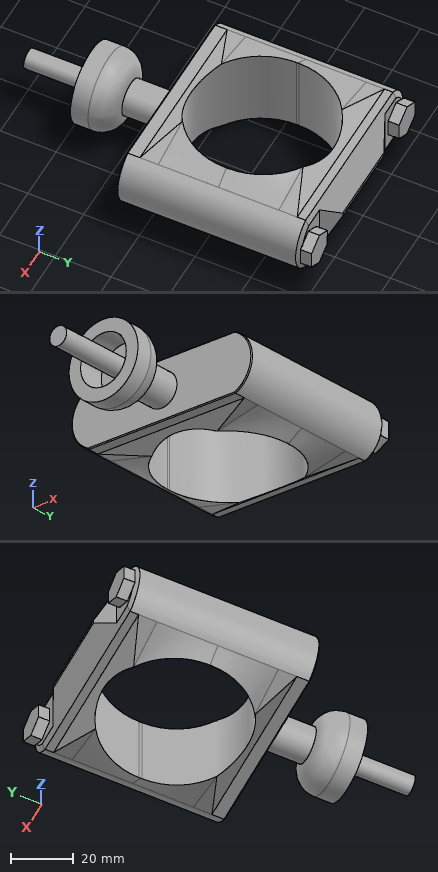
import cadquery as cq
import math

overall_length = 120.1
back_end = 36.3
rod_end = back_end - overall_length
block_back = 31.2
block_front = -32.9
stem_length = 14.2
knob_back = block_front - stem_length
knob_length = 14.4
knob_front = knob_back - knob_length

block_half_width = 38.0
flat_half_width = 30.9
block_half_height = 11.0
front_edge_chamfer = 0.4

back_slope = 0.49
back_chamfer_height = 1.1
back_chamfer_inset = back_chamfer_height / back_slope
ridge_base_half_width = 25.5
ridge_top_half_width = 14.5
ridge_height = back_end - block_back
ridge_top_half_height = block_half_height - ridge_height / back_slope

bore_radius = 25.2
bore_half_gap = 0.5

collar_half_height = 14.9
collar_top_half_length = 21.6
collar_base_half_length = 28.2

bolt_half_spacing = 31.0
bolt_corner_radius = 6.5
bolt_head_height = 4.0

stem_radius = 6.5
knob_radius = 14.5
dome_radius = knob_radius - stem_radius
recess_radius = 9.6
recess_depth = 10.2
rod_radius = 3.6


def block_outline(y, inset=0.0):
    """Block outline in the XZ plane at the given Y, moved inward by inset."""
    x = flat_half_width
    z = block_half_height - inset
    bulge_x = block_half_width - inset
    return (
        cq.Workplane("XZ", origin=(0, y, 0))
        .moveTo(-x, z)
        .lineTo(x, z)
        .threePointArc((bulge_x, 0), (x, -z))
        .lineTo(-x, -z)
        .threePointArc((-bulge_x, 0), (-x, z))
        .close()
    )


def tapered_end(y_wide, y_narrow, inset):
    """Sloped slab that shrinks by inset from y_wide to y_narrow."""
    wide = block_outline(y_wide).wires().val()
    narrow = block_outline(y_narrow, inset).wires().val()
    return cq.Workplane(cq.Solid.makeLoft([wide, narrow], True))


def make_block():
    front_start = block_front + front_edge_chamfer
    block = block_outline(block_back).extrude(block_back - front_start)
    front = tapered_end(front_start, block_front, front_edge_chamfer)
    back = tapered_end(block_back, block_back + back_chamfer_height, back_chamfer_inset)
    return block.union(front).union(back)


def make_ridge():
    """Pyramid-like ridge on the back of the block."""
    base = cq.Workplane("XZ", origin=(0, block_back, 0)).rect(
        2 * ridge_base_half_width, 2 * block_half_height
    )
    top = cq.Workplane("XZ", origin=(0, back_end, 0)).rect(
        2 * ridge_top_half_width, 2 * ridge_top_half_height
    )
    return cq.Workplane(cq.Solid.makeLoft([base.wires().val(), top.wires().val()], True))


def polygon_face(*corners):
    return cq.Face.makeFromWires(cq.Wire.makePolygon(corners, close=True))


def make_collar():
    """Upper collar: its sides are ruled from straight base edges to the arcs of the bore rim."""
    base_z = block_half_height
    top_z = collar_half_height
    base_y = collar_base_half_length
    top_y = collar_top_half_length

    def rim_x(y):
        return math.sqrt(bore_radius**2 - (y - bore_half_gap) ** 2)

    def base(x_side, y):
        return cq.Vector(x_side * flat_half_width, y, base_z)

    def rim(x_side, y_side, y):
        return cq.Vector(x_side * rim_x(y), y_side * y, top_z)

    def top(x_side, y_side):
        return rim(x_side, y_side, top_y)

    faces = []
    rim_edges = []
    for side in (1, -1):
        for end in (1, -1):
            arc = cq.Edge.makeThreePointArc(rim(side, end, 0), rim(side, end, top_y / 2), top(side, end))
            foot = cq.Edge.makeLine(base(side, 0), base(side, end * top_y))
            rim_edges.append(arc)
            faces.append(cq.Face.makeRuledSurface(foot, arc))
            faces.append(polygon_face(base(side, end * top_y), base(side, end * base_y), top(side, end)))
    for end in (1, -1):
        faces.append(polygon_face(base(-1, end * base_y), base(1, end * base_y), top(1, end), top(-1, end)))
        rim_edges.append(cq.Edge.makeLine(top(-1, end), top(1, end)))
    faces.append(cq.Face.makeFromWires(cq.Wire.combine(rim_edges)[0]))
    right_foot = [base(1, y) for y in (-base_y, -top_y, 0, top_y, base_y)]
    left_foot = [base(-1, y) for y in (base_y, top_y, 0, -top_y, -base_y)]
    faces.append(polygon_face(*right_foot, *left_foot))
    return cq.Workplane(cq.Solid.makeSolid(cq.Shell.makeShell(faces)))


def make_bore():
    return (
        cq.Workplane("XY", origin=(0, 0, -collar_half_height))
        .slot2D(2 * (bore_radius + bore_half_gap), 2 * bore_radius, 90)
        .extrude(2 * collar_half_height)
    )


def make_bolt_heads():
    """Hexagonal heads with a corner pointing up and a corner pointing down."""
    heads = cq.Workplane("XZ", origin=(0, back_end, 0))
    for x in (-bolt_half_spacing, bolt_half_spacing):
        corners = []
        for index in range(6):
            angle = math.radians(90 + 60 * index)
            corners.append((x + bolt_corner_radius * math.cos(angle), bolt_corner_radius * math.sin(angle)))
        heads = heads.polyline(corners).close()
    return heads.extrude(bolt_head_height)


def make_handle():
    """Stem, domed knob with a recessed front, and rod, turned about the Y axis."""
    recess_floor = knob_front + recess_depth
    dome_front = knob_back - dome_radius
    dome_middle = dome_radius * math.sqrt(0.5)
    return (
        cq.Workplane("XY")
        .moveTo(0, block_front)
        .lineTo(stem_radius, block_front)
        .lineTo(stem_radius, knob_back)
        .threePointArc((stem_radius + dome_middle, dome_front + dome_middle), (knob_radius, dome_front))
        .lineTo(knob_radius, knob_front)
        .lineTo(recess_radius, knob_front)
        .lineTo(recess_radius, recess_floor)
        .lineTo(rod_radius, recess_floor)
        .lineTo(rod_radius, rod_end)
        .lineTo(0, rod_end)
        .close()
        .revolve(360, (0, 0, 0), (0, 1, 0))
    )


upper_collar = make_collar()
lower_collar = upper_collar.mirror("XY")

result = (
    make_block()
    .union(make_ridge())
    .union(upper_collar)
    .union(lower_collar)
    .cut(make_bore())
    .union(make_bolt_heads())
    .union(make_handle())
)